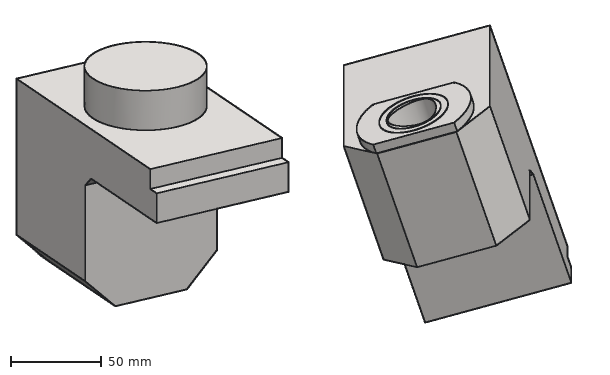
import cadquery as cq
import math

BODY_LENGTH = 153.0
BODY_WIDTH = 85.0
BODY_HEIGHT = 114.0
LEG_LENGTH = 75.0
ARM_THICKNESS = 30.0
INNER_CORNER_CHAMFER = 6.5
END_STEP_LENGTH = 7.0
END_STEP_DEPTH = 12.0
LOWER_EDGE_CHAMFER = 19.5

BOSS_DIAMETER = 68.0
BOSS_HEIGHT = 24.0
BOSS_CENTER_X = 69.0

FLANGE_FLAT_DISTANCE = 47.0
FLANGE_DIAMETER = FLANGE_FLAT_DISTANCE * math.sqrt(2)
FLANGE_THICKNESS = 5.8
FLANGE_BOTTOM_CLEARANCE = 0.5
SPINDLE_Z = FLANGE_BOTTOM_CLEARANCE + FLANGE_FLAT_DISTANCE / 2

CONTACT_DIAMETER = 40.0
CONTACT_HEIGHT = 0.2
RECESS_DIAMETER = 31.6
RECESS_DEPTH = 0.2

SOCKET_MEAN_RADIUS = 14.0
SOCKET_LOBE_HEIGHT = 1.0
SOCKET_CURVE_POINTS = 24
SOCKET_DEPTH = 25.0
SOCKET_TAPER = 1 / 20

FLANGE_FACE_X = -FLANGE_THICKNESS
CONTACT_FACE_X = FLANGE_FACE_X - CONTACT_HEIGHT
RECESS_FLOOR_X = CONTACT_FACE_X + RECESS_DEPTH


def spindle_plane(x):
    """Plane across the spindle axis: local x is +Y, local y is +Z, normal is +X."""
    return cq.Plane(origin=(x, 0, SPINDLE_Z), xDir=(0, 1, 0), normal=(1, 0, 0))


def make_body():
    arm_underside = BODY_HEIGHT - ARM_THICKNESS
    step_z = BODY_HEIGHT - END_STEP_DEPTH
    step_x = BODY_LENGTH - END_STEP_LENGTH
    outline = [
        (0, 0),
        (LEG_LENGTH, 0),
        (LEG_LENGTH, arm_underside - INNER_CORNER_CHAMFER),
        (LEG_LENGTH + INNER_CORNER_CHAMFER, arm_underside),
        (BODY_LENGTH, arm_underside),
        (BODY_LENGTH, step_z),
        (step_x, step_z),
        (step_x, BODY_HEIGHT),
        (0, BODY_HEIGHT),
    ]
    body = cq.Workplane("XZ").polyline(outline).close().extrude(BODY_WIDTH / 2, both=True)
    return body.faces("<Z").edges("|X").chamfer(LOWER_EDGE_CHAMFER)


def make_boss():
    plane = cq.Workplane("XY", origin=(BOSS_CENTER_X, 0, BODY_HEIGHT))
    return plane.circle(BOSS_DIAMETER / 2).extrude(BOSS_HEIGHT)


def make_flange():
    plane = spindle_plane(FLANGE_FACE_X)
    disc = cq.Workplane(plane).circle(FLANGE_DIAMETER / 2).extrude(FLANGE_THICKNESS)
    flats = cq.Workplane(plane).rect(FLANGE_DIAMETER, FLANGE_FLAT_DISTANCE).extrude(FLANGE_THICKNESS)
    return disc.intersect(flats)


def make_contact_face():
    return cq.Workplane(spindle_plane(CONTACT_FACE_X)).circle(CONTACT_DIAMETER / 2).extrude(CONTACT_HEIGHT)


def make_recess():
    return cq.Workplane(spindle_plane(CONTACT_FACE_X)).circle(RECESS_DIAMETER / 2).extrude(RECESS_DEPTH)


def socket_outline(workplane, mean_radius):
    """Closed smooth three-lobed curve (a hypotrochoid) around the spindle axis."""
    points = []
    for step in range(SOCKET_CURVE_POINTS):
        angle = 2 * math.pi * step / SOCKET_CURVE_POINTS
        y = mean_radius * math.cos(angle) + SOCKET_LOBE_HEIGHT * math.cos(2 * angle)
        z = mean_radius * math.sin(angle) - SOCKET_LOBE_HEIGHT * math.sin(2 * angle)
        points.append((y, z))
    return workplane.spline(points, periodic=True).close()


def make_socket():
    floor_radius = SOCKET_MEAN_RADIUS - SOCKET_DEPTH * SOCKET_TAPER / 2
    mouth = socket_outline(cq.Workplane(spindle_plane(RECESS_FLOOR_X)), SOCKET_MEAN_RADIUS)
    floor = socket_outline(mouth.workplane(offset=SOCKET_DEPTH), floor_radius)
    return floor.loft(ruled=True)


body = make_body().union(make_boss()).union(make_flange()).union(make_contact_face())
result = body.cut(make_recess()).cut(make_socket())